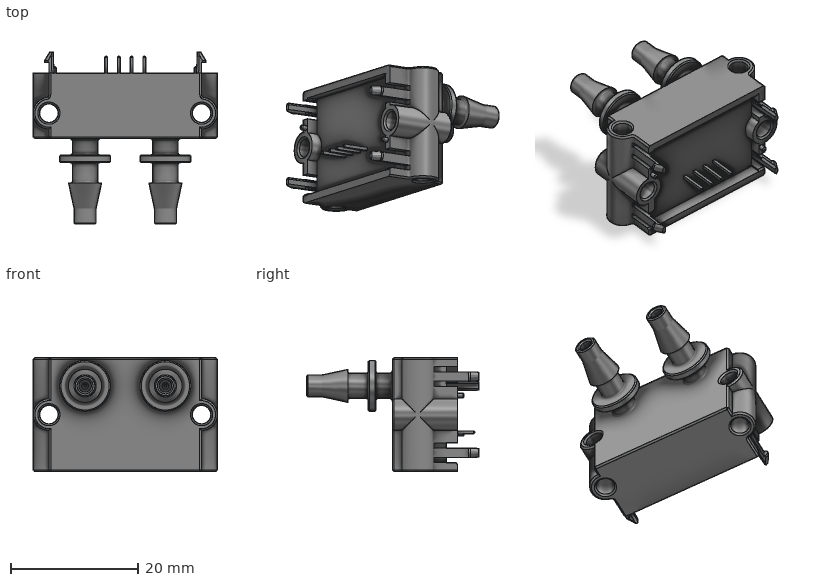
import cadquery as cq

SIDES = (-1, 1)

length = 29
height = 17.95
depth = 10.3
edge_chamfer = 0.3
wall = 1.2
cavity_depth = 1.8

boss_radius = 2.5
boss_x = length / 2 - boss_radius
cross_y = 4.0
boss_fillet = 0.5
mount_hole_radius = 1.45
hole_chamfer = 0.3

nozzle_x = 6.32
nozzle_z = 4.52
neck_radius = 2.0
root_fillet = 0.45
neck_fillet = 0.3
flange_radius = 4.0
flange_start = 2.55
flange_end = 3.8
flange_chamfer = 0.2
barb_start = 7.0
barb_radius = 2.6
barb_end = 11.02
tip_radius = 1.75
tip_chamfer = 0.2
nozzle_length = 13.45
bore_radius = 1.0
bore_chamfer = 0.25
recess_floor_radius = 0.2
recess_radius = 0.52

clip_width = 1.48
clip_gap = 0.8
clip_end = 13.6
clip_root_thickness = 0.93
clip_tip_thickness = 0.7
clip_inner_chamfer = 0.35
slot_length = 3.75
slot_corner_fillet = 0.2
slot_lead_in = 0.3
slot_round_over = 0.65
hook_overhang = 0.67
hook_radius = 0.78
hook_tip_setback = 0.12
hook_start = 11.98
hook_lip_end = 12.3
left_clip_heights = (4.52, -6.0)
right_clip_heights = (6.0, -6.0)

peg_x = 11.22
peg_z = 3.02
peg_radius = 0.38
peg_end = 11.3
peg_chamfer = 0.2
pin_pitch = 2.0
pin_count = 4
pin_size = 0.5
pin_z = -2.78
pin_end = 13.0
pin_point = 0.2

side_x = boss_x
inner_x = side_x - wall
slot_end_y = depth - slot_length
cavity_floor_y = depth - cavity_depth


def box(x_range, y_range, z_range):
    """Box between two limits on each axis, given in either order."""
    low, high = zip(*(sorted(limits) for limits in (x_range, y_range, z_range)))
    size = [b - a for a, b in zip(low, high)]
    return cq.Workplane("XY").box(*size, centered=False).translate(low)


def rod_y(x, z, radius, y_start, y_end):
    """Round rod along +Y."""
    plane = cq.Plane(origin=(x, y_start, z), xDir=(1, 0, 0), normal=(0, 1, 0))
    return cq.Workplane(plane).circle(radius).extrude(y_end - y_start)


def rod_z(x, y, radius):
    """Round rod along Z over the full height."""
    return cq.Workplane("XY", origin=(x, y, -height / 2)).circle(radius).extrude(height)


def make_housing():
    body = box((-side_x, side_x), (0, depth), (-height / 2, height / 2))
    for side in SIDES:
        body = body.union(rod_z(side * boss_x, cross_y, boss_radius))
    for side in SIDES:
        corner = cq.selectors.NearestToPointSelector((side * side_x, cross_y + boss_radius, 0))
        body = body.edges("|Z").edges(corner).fillet(boss_fillet)
    for side in SIDES:
        body = body.union(rod_y(side * boss_x, 0, boss_radius, 0, depth))
    body = body.edges("(<Y or <Z or >Z) except >Y").chamfer(edge_chamfer)
    return body


def make_cavity():
    """Shallow open recess in the back that leaves the horizontal bosses standing."""
    half_z = height / 2 - wall
    cavity = box((-inner_x, inner_x), (cavity_floor_y, depth), (-half_z, half_z))
    for side in SIDES:
        cavity = cavity.cut(rod_y(side * boss_x, 0, boss_radius, 0, depth))
    return cavity


def make_mount_hole(start, direction, reach):
    """Cutter for a through hole from a start point, widened by a chamfer at both mouths."""
    mouth_radius = mount_hole_radius + hole_chamfer
    start = cq.Vector(*start)
    direction = cq.Vector(*direction)
    end = start + direction * reach
    cutter = cq.Workplane(cq.Solid.makeCylinder(mount_hole_radius, reach, start, direction))
    for mouth, inward in ((start, direction), (end, -direction)):
        cone = cq.Solid.makeCone(mouth_radius, mount_hole_radius, hole_chamfer, mouth, inward)
        cutter = cutter.union(cq.Workplane(cone))
    return cutter


def revolve_nozzle(outline, x):
    """Turn an outline of (radius, distance from the front face) into a solid about a nozzle axis."""
    turned = outline.close().revolve(360, (0, 0, 0), (0, 1, 0))
    return turned.rotate((0, 0, 0), (1, 0, 0), 180).translate((x, 0, nozzle_z))


def make_nozzle(x):
    flange_rim = flange_radius - flange_chamfer
    outline = (
        cq.Workplane("XY")
        .moveTo(0, -edge_chamfer)
        .lineTo(neck_radius + root_fillet, -edge_chamfer)
        .lineTo(neck_radius + root_fillet, 0)
        .radiusArc((neck_radius, root_fillet), root_fillet)
        .lineTo(neck_radius, flange_start - neck_fillet)
        .radiusArc((neck_radius + neck_fillet, flange_start), neck_fillet)
        .lineTo(flange_rim, flange_start)
        .lineTo(flange_radius, flange_start + flange_chamfer)
        .lineTo(flange_radius, flange_end - flange_chamfer)
        .lineTo(flange_rim, flange_end)
        .lineTo(neck_radius + neck_fillet, flange_end)
        .radiusArc((neck_radius, flange_end + neck_fillet), neck_fillet)
        .lineTo(neck_radius, barb_start - neck_fillet)
        .radiusArc((neck_radius + neck_fillet, barb_start), neck_fillet)
        .lineTo(barb_radius, barb_start)
        .lineTo(tip_radius, barb_end)
        .lineTo(tip_radius, nozzle_length - tip_chamfer)
        .lineTo(tip_radius - tip_chamfer, nozzle_length)
        .lineTo(0, nozzle_length)
    )
    return revolve_nozzle(outline, x)


def make_bore(x):
    """Bore through the nozzle with a small conical recess in its floor."""
    recess_depth = recess_radius - recess_floor_radius
    outline = (
        cq.Workplane("XY")
        .moveTo(0, -recess_depth)
        .lineTo(recess_floor_radius, -recess_depth)
        .lineTo(recess_radius, 0)
        .lineTo(bore_radius, 0)
        .lineTo(bore_radius, nozzle_length - bore_chamfer)
        .lineTo(bore_radius + bore_chamfer, nozzle_length)
        .lineTo(0, nozzle_length)
    )
    return revolve_nozzle(outline, x)


def make_clip_slot(z):
    """Slot in the right wall around a clip, keeping the wall stretch that the clip grows from."""
    half_slot = clip_width / 2 + clip_gap
    outer_x = side_x + boss_fillet
    slot = box((inner_x, outer_x), (slot_end_y, depth), (z - half_slot, z + half_slot))
    slot = slot.edges("|X and <Y").fillet(slot_corner_fillet)
    half_clip = clip_width / 2
    kept = box(
        (side_x - clip_tip_thickness, outer_x), (slot_end_y, depth), (z - half_clip, z + half_clip)
    )
    return slot.cut(kept)


def make_clip_bar():
    """Bar at Z = 0 that thins toward its tip, bevelled inside and reaching out past the hook."""
    outer_x = side_x + hook_overhang

    def section(thickness):
        half = clip_width / 2
        clip_inner_x = side_x - thickness
        bevel_x = clip_inner_x + clip_inner_chamfer
        flat_half = half - clip_inner_chamfer
        return [
            (outer_x, half), (bevel_x, half), (clip_inner_x, flat_half),
            (clip_inner_x, -flat_half), (bevel_x, -half), (outer_x, -half),
        ]

    plane = cq.Plane(origin=(0, slot_end_y, 0), xDir=(1, 0, 0), normal=(0, 1, 0))
    return (
        cq.Workplane(plane)
        .polyline(section(clip_root_thickness)).close()
        .workplane(offset=clip_end - slot_end_y)
        .polyline(section(clip_tip_thickness)).close()
        .loft(ruled=True)
    )


def make_clip(z):
    """Snap clip on the right side with a rounded hook that slopes back to the tip."""
    shank = box((0, side_x), (slot_end_y, hook_start), (-clip_width, clip_width))
    base_x = side_x + hook_overhang - hook_radius
    tip_x = side_x - hook_tip_setback - hook_radius
    lip = rod_y(base_x, 0, hook_radius, hook_start, hook_lip_end)
    plane = cq.Plane(origin=(0, hook_lip_end, 0), xDir=(1, 0, 0), normal=(0, 1, 0))
    slope = (
        cq.Workplane(plane)
        .center(base_x, 0).circle(hook_radius)
        .workplane(offset=clip_end - hook_lip_end)
        .center(tip_x - base_x, 0).circle(hook_radius)
        .loft(ruled=True)
    )
    clip = make_clip_bar().intersect(shank.union(lip).union(slope))
    return clip.translate((0, 0, z))


def make_lower_slot_relief(z):
    """Lead-in on the wall below a lower slot and a rounded edge on the block behind that slot."""
    floor_z = z - clip_width / 2 - clip_gap
    lead_in = (
        cq.Workplane("YZ", origin=(inner_x, 0, 0))
        .polyline([
            (depth, floor_z - slot_lead_in), (depth, floor_z), (depth - slot_lead_in, floor_z)
        ]).close()
        .extrude(wall)
    )
    axis_x = inner_x - slot_round_over
    axis_z = floor_z + slot_round_over
    edge = box((axis_x, inner_x), (slot_end_y, cavity_floor_y), (floor_z, axis_z))
    edge = edge.cut(rod_y(axis_x, axis_z, slot_round_over, slot_end_y, cavity_floor_y))
    return lead_in.union(edge)


def on_side(shape, side):
    """Shape drawn for the right side, mirrored when it belongs on the left."""
    return shape if side > 0 else shape.mirror("YZ")


def make_peg(x, z):
    return rod_y(x, z, peg_radius, cavity_floor_y, peg_end).faces(">Y").chamfer(peg_chamfer)


def make_pin(x):
    half = pin_size / 2
    pin = box((x - half, x + half), (cavity_floor_y, pin_end), (pin_z - half, pin_z + half))
    return pin.faces(">Y").chamfer(pin_point)


result = make_housing().cut(make_cavity())

for side, clip_heights in zip(SIDES, (left_clip_heights, right_clip_heights)):
    for clip_z in clip_heights:
        result = result.cut(on_side(make_clip_slot(clip_z), side))
        if clip_z < 0:
            result = result.cut(on_side(make_lower_slot_relief(clip_z), side))
        result = result.union(on_side(make_clip(clip_z), side))
    result = result.union(make_peg(side * peg_x, side * peg_z))
    hole_x = side * boss_x
    result = result.cut(make_mount_hole((hole_x, 0, 0), (0, 1, 0), depth))
    result = result.cut(make_mount_hole((hole_x, cross_y, -height / 2), (0, 0, 1), height))

for side in SIDES:
    result = result.union(make_nozzle(side * nozzle_x))
    result = result.cut(make_bore(side * nozzle_x))

for index in range(pin_count):
    result = result.union(make_pin((index - (pin_count - 1) / 2) * pin_pitch))